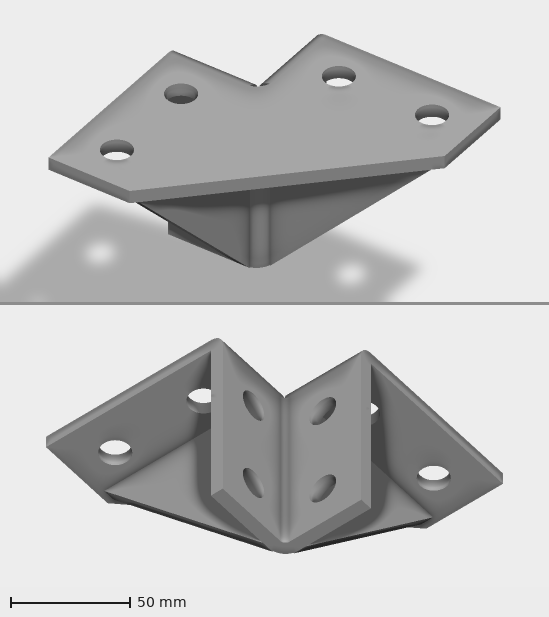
import cadquery as cq
import math

side = 136.3
height = 95.3
thickness = 6.4
leg = 41.3
inner_bend_radius = 2.7
hole_diameter = 14.3
hole_pitch = 47.4
gusset_tip_inset = 3.3

outer_bend_radius = inner_bend_radius + thickness
plate_bottom = height - thickness
corner_x = leg
corner_y = side - leg
wall_back_x = corner_x + thickness
wall_front_y = corner_y - thickness
bend_x = corner_x - inner_bend_radius
bend_y = corner_y + inner_bend_radius
gusset_root_y = wall_front_y + thickness / 2
hole_near = leg / 2
hole_far = hole_near + hole_pitch


def on_bend(radius):
    """Middle point of a vertical bend arc of the given radius."""
    reach = radius * math.sqrt(0.5)
    return bend_x + reach, bend_y - reach


def mirrored(body):
    """Mirror across the vertical symmetry plane x + y = side."""
    swapped = body.mirror("YZ").rotate((0, 0, 0), (0, 0, 1), 90)
    return swapped.translate((side, side, 0))


def wall_footprint(length):
    """Bent strip forming both walls, extruded upward from the base."""
    return (
        cq.Workplane("XY")
        .moveTo(0, wall_front_y)
        .lineTo(bend_x, wall_front_y)
        .threePointArc(on_bend(outer_bend_radius), (wall_back_x, bend_y))
        .lineTo(wall_back_x, side)
        .lineTo(corner_x, side)
        .lineTo(corner_x, bend_y)
        .threePointArc(on_bend(inner_bend_radius), (bend_x, corner_y))
        .lineTo(0, corner_y)
        .close()
        .extrude(length)
    )


def top_plate():
    """L-shaped plate with a cut diagonal, cleared above the walls."""
    plate = (
        cq.Workplane("XY")
        .workplane(offset=plate_bottom)
        .polyline([
            (0, 0), (leg, 0), (side, side - leg), (side, side),
            (corner_x, side), (corner_x, corner_y), (0, corner_y),
        ])
        .close()
        .extrude(thickness)
    )
    return plate.cut(wall_footprint(height))


def front_roll():
    """Quarter-round bend joining the front-facing wall to the plate."""
    reach = thickness * math.sqrt(0.5)
    roll = (
        cq.Workplane("YZ")
        .moveTo(wall_front_y, plate_bottom)
        .lineTo(corner_y, plate_bottom)
        .threePointArc((wall_front_y + reach, plate_bottom + reach), (wall_front_y, height))
        .close()
        .extrude(corner_x)
    )
    return roll.intersect(wall_footprint(height))


def side_gusset():
    """Triangle under the plate, running from the front wall toward -Y."""
    return (
        cq.Workplane("YZ")
        .workplane(offset=corner_x - thickness)
        .polyline([
            (gusset_tip_inset, plate_bottom), (wall_front_y, 0),
            (gusset_root_y, 0), (gusset_root_y, plate_bottom),
        ])
        .close()
        .extrude(thickness)
    )


def holes(plane, points):
    """Through-hole cutters reaching across the whole part."""
    return (
        cq.Workplane(plane)
        .pushPoints(points)
        .circle(hole_diameter / 2)
        .extrude(side, both=True)
    )


result = wall_footprint(plate_bottom).union(top_plate())
for feature in (front_roll(), side_gusset()):
    result = result.union(feature).union(mirrored(feature))

plate_holes = [
    (hole_near, hole_near), (hole_near, hole_far),
    (side - hole_far, side - hole_near), (side - hole_near, side - hole_near),
]
result = result.cut(holes("XY", plate_holes))
front_holes = holes("XZ", [(hole_near, hole_near), (hole_near, hole_far)])
result = result.cut(front_holes).cut(mirrored(front_holes))